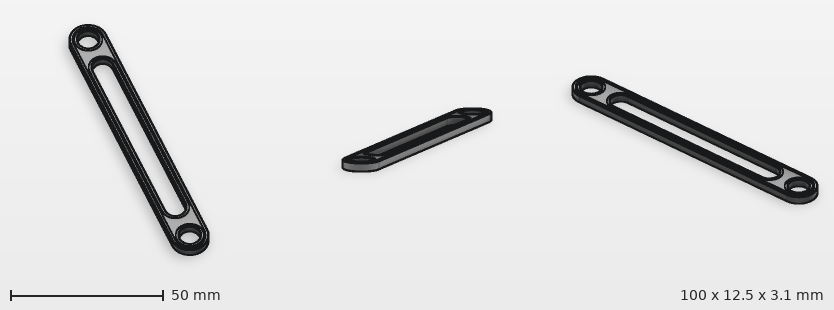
import cadquery as cq

length = 100.0
width = 12.5
thickness = 3.1
edge_chamfer = 0.3

hole_diameter = 7.0
hole_spacing = length - width
slot_length = 69.5
slot_width = hole_diameter

recess_depth = 0.2
recess_floor = thickness - recess_depth
rim_width = 1.1
collar_diameter = 9.2
collar_width = (collar_diameter - hole_diameter) / 2


def rounded_bar(bar_length, bar_width, bottom, height):
    """Prism with full-round ends, lying along X."""
    return cq.Workplane("XY").workplane(offset=bottom).slot2D(bar_length, bar_width).extrude(height)


def end_cylinders(diameter, bottom, height):
    """Cylinders at the two end hole positions."""
    return (
        cq.Workplane("XY")
        .workplane(offset=bottom)
        .pushPoints([(-hole_spacing / 2, 0), (hole_spacing / 2, 0)])
        .circle(diameter / 2)
        .extrude(height)
    )


def bar_with_openings():
    """Bar with two end holes and a central slot, chamfered along every top and bottom edge."""
    bar = rounded_bar(length, width, 0, thickness)
    bar = bar.cut(end_cylinders(hole_diameter, 0, thickness))
    bar = bar.cut(rounded_bar(slot_length, slot_width, 0, thickness))
    return bar.faces("<Z or >Z").edges().chamfer(edge_chamfer)


def top_recess():
    """Recess volume inside the rim, less the collars around the holes and the slot."""
    recess = rounded_bar(length - 2 * rim_width, width - 2 * rim_width, recess_floor, recess_depth)
    hole_collars = end_cylinders(collar_diameter, recess_floor, recess_depth)
    slot_collar = rounded_bar(
        slot_length + 2 * collar_width, slot_width + 2 * collar_width, recess_floor, recess_depth
    )
    return recess.cut(hole_collars).cut(slot_collar)


result = bar_with_openings().cut(top_recess())